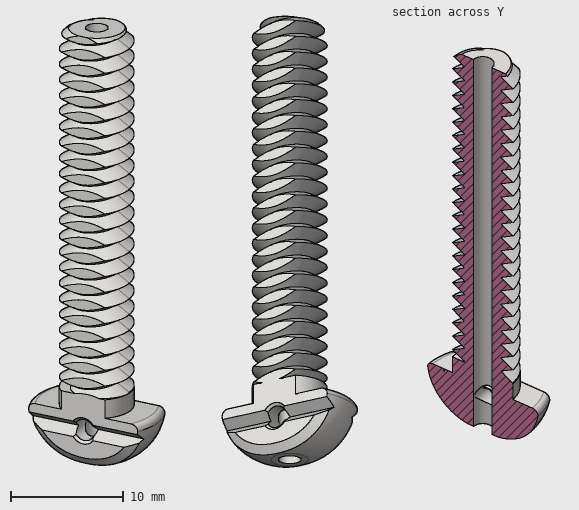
import cadquery as cq
import math

length = 41.25
thickness = 5.0
bore_diameter = 2.0

head_radius = 6.1
head_height = 5.05
head_rim_radius = 0.6
dome_flat_radius = 1.65
dome_mid_radius = 4.7
dome_mid_height = 1.53
head_chamfer = 0.6

groove_height = 3.4
groove_half_width = 0.75
groove_depth = 1.0
cross_hole_chamfer = 0.25

shank_radius = 3.35
collar_top = 6.8
tip_radius = 2.5
thread_half_angle = 30.0
lowest_crest = 7.6
highest_crest = 39.13
crest_turns = 21
pitch = (highest_crest - lowest_crest) / crest_turns
trim_clearance = 0.4


def make_head():
    """Domed head, trimmed flat, with chamfered lower edges."""
    rim_bottom = head_height - head_rim_radius
    rim_mid = head_rim_radius * math.sqrt(0.5)
    dome = (
        cq.Workplane("XZ")
        .lineTo(dome_flat_radius, 0)
        .threePointArc((dome_mid_radius, dome_mid_height), (head_radius, rim_bottom))
        .threePointArc(
            (head_radius - head_rim_radius + rim_mid, rim_bottom + rim_mid),
            (head_radius - head_rim_radius, head_height),
        )
        .lineTo(0, head_height)
        .close()
        .revolve(360, (0, 0), (0, 1))
    )
    slab = cq.Workplane("XY").box(
        2 * head_radius, thickness, head_height, centered=(True, True, False)
    )
    head = dome.intersect(slab)
    halves = head.faces("<Z").workplane(offset=-groove_height).split(keepTop=True, keepBottom=True)
    lower = halves.solids("<Z")
    upper = halves.solids(">Z")
    dome_edges = lower.faces("<Y or >Y").edges("not |X")
    return dome_edges.chamfer(head_chamfer).union(upper)


def cut_side_details(body):
    """V groove along X on each flat side and a chamfered cross hole through both."""
    half = thickness / 2
    for side in (-1, 1):
        groove = (
            cq.Workplane("YZ")
            .moveTo(side * half, groove_height - groove_half_width)
            .lineTo(side * (half - groove_depth), groove_height)
            .lineTo(side * half, groove_height + groove_half_width)
            .close()
            .extrude(head_radius, both=True)
        )
        body = body.cut(groove)
    hole_radius = bore_diameter / 2
    hole = (
        cq.Workplane("XY")
        .moveTo(0, -half)
        .lineTo(hole_radius + cross_hole_chamfer, -half)
        .lineTo(hole_radius, -half + cross_hole_chamfer)
        .lineTo(hole_radius, half - cross_hole_chamfer)
        .lineTo(hole_radius + cross_hole_chamfer, half)
        .lineTo(0, half)
        .close()
        .revolve(360, (0, 0), (0, 1))
        .translate((0, 0, groove_height))
    )
    return body.cut(hole)


def helix_turn(radius, height):
    """One right-hand turn of helix as an edge, starting on the +X side at the given height."""
    wire = cq.Wire.makeHelix(pitch, pitch, radius).translate(cq.Vector(0, 0, height))
    return wire.Edges()[0]


def make_thread_end(root_radius, height):
    """Closing faces of the rod: a helicoid from the axis to the root and a flat step at +X."""
    top = height + pitch
    axis = cq.Edge.makeLine(cq.Vector(0, 0, height), cq.Vector(0, 0, top))
    helicoid = cq.Face.makeRuledSurface(axis, helix_turn(root_radius, height))
    step_outline = [
        cq.Vector(0, 0, height),
        cq.Vector(root_radius, 0, height),
        cq.Vector(shank_radius, 0, height + pitch / 2),
        cq.Vector(root_radius, 0, top),
        cq.Vector(0, 0, top),
    ]
    step = cq.Face.makeFromWires(cq.Wire.makePolygon(step_outline, close=True))
    return [helicoid, step]


def make_threaded_rod():
    """Rod with a sharp V thread, reaching past both ends of the threaded length."""
    thread_depth = pitch / 2 / math.tan(math.radians(thread_half_angle))
    root_radius = shank_radius - thread_depth

    start = lowest_crest - 2 * pitch
    turns = math.ceil((length - start) / pitch)

    faces = make_thread_end(root_radius, start)
    for turn in range(turns):
        height = start + turn * pitch
        lower_root = helix_turn(root_radius, height)
        crest = helix_turn(shank_radius, height + pitch / 2)
        upper_root = helix_turn(root_radius, height + pitch)
        faces.append(cq.Face.makeRuledSurface(lower_root, crest))
        faces.append(cq.Face.makeRuledSurface(crest, upper_root))
    faces += make_thread_end(root_radius, start + turns * pitch)

    rod = cq.Solid.makeSolid(cq.Shell.makeShell(faces)).fix()
    return cq.Workplane(obj=rod)


def make_shank():
    """Plain collar and threaded rod with two flat sides and a chamfered tip."""
    trim_radius = shank_radius + trim_clearance
    trim_bar = (
        cq.Workplane("XY", origin=(0, 0, collar_top))
        .circle(trim_radius)
        .extrude(length - collar_top)
        .faces(">Z")
        .chamfer(trim_radius - tip_radius)
    )
    flat_slab = cq.Workplane("XY").box(
        2 * trim_radius, thickness, length, centered=(True, True, False)
    )
    collar = (
        cq.Workplane("XY", origin=(0, 0, head_height))
        .circle(shank_radius)
        .extrude(collar_top - head_height)
        .intersect(flat_slab)
    )
    threaded_part = trim_bar.intersect(flat_slab).intersect(make_threaded_rod())
    return collar.union(threaded_part)


bore = cq.Workplane("XY").circle(bore_diameter / 2).extrude(length)
result = cut_side_details(make_head()).union(make_shank()).cut(bore)